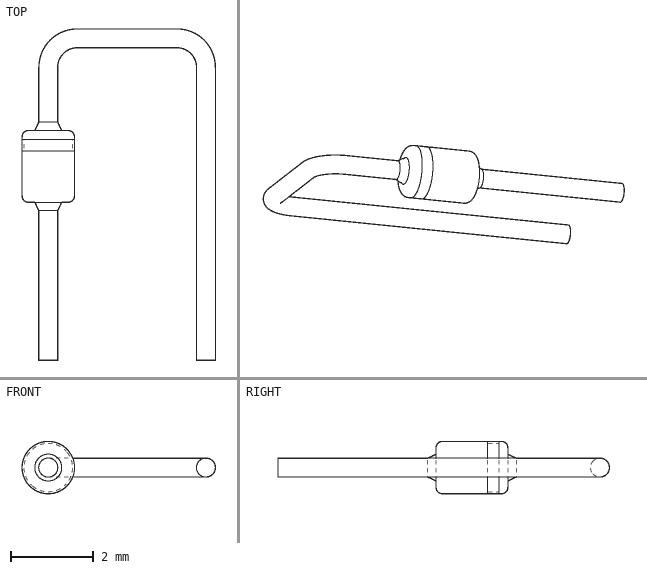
import cadquery as cq
import math


overall_length = 8.0
lead_pitch = 3.805
lead_diameter = 0.46
bend_radius = 0.7

body_diameter = 1.27
body_length = 1.74
body_start = 3.81
edge_radius = 0.16

neck_length = 0.2
neck_base_radius = 0.325

band_width = 0.275
band_offset = 0.22
band_depth = 0.05

lead_radius = lead_diameter / 2
body_radius = body_diameter / 2
body_end = body_start + body_length
near_neck_tip = body_start - neck_length
far_neck_tip = body_end + neck_length
band_end = body_end - band_offset
fold_y = overall_length - lead_radius


def make_band():
    """Ring set into the body near its far end."""
    return (
        cq.Workplane("XZ", origin=(0, band_end, 0))
        .circle(body_radius)
        .circle(body_radius - band_depth)
        .extrude(band_width)
    )


def make_body(band):
    """Round-ended glass cylinder with a tapered neck at each end and a groove for the band."""
    arc_inset = edge_radius * (1 - math.sqrt(0.5))
    shoulder_radius = body_radius - edge_radius
    glass = (
        cq.Workplane("XY")
        .moveTo(0, near_neck_tip)
        .lineTo(lead_radius, near_neck_tip)
        .lineTo(neck_base_radius, body_start)
        .lineTo(shoulder_radius, body_start)
        .threePointArc(
            (body_radius - arc_inset, body_start + arc_inset),
            (body_radius, body_start + edge_radius),
        )
        .lineTo(body_radius, body_end - edge_radius)
        .threePointArc(
            (body_radius - arc_inset, body_end - arc_inset),
            (shoulder_radius, body_end),
        )
        .lineTo(neck_base_radius, body_end)
        .lineTo(lead_radius, far_neck_tip)
        .lineTo(0, far_neck_tip)
        .close()
        .revolve(360, (0, 0, 0), (0, 1, 0))
    )
    return glass.cut(band)


def make_straight_lead():
    """Lead from its tip to the near neck."""
    return cq.Workplane("XZ").circle(lead_radius).extrude(-near_neck_tip)


def make_folded_lead():
    """Lead that leaves the far neck, turns twice and runs back to the tip plane."""
    bend_start = fold_y - bend_radius
    arc_inset = bend_radius * (1 - math.sqrt(0.5))
    path = (
        cq.Workplane("XY")
        .moveTo(0, far_neck_tip)
        .lineTo(0, bend_start)
        .threePointArc((arc_inset, fold_y - arc_inset), (bend_radius, fold_y))
        .lineTo(lead_pitch - bend_radius, fold_y)
        .threePointArc((lead_pitch - arc_inset, fold_y - arc_inset), (lead_pitch, bend_start))
        .lineTo(lead_pitch, 0)
    )
    return cq.Workplane("XZ", origin=(0, far_neck_tip, 0)).circle(lead_radius).sweep(path)


band = make_band()
body = make_body(band)
straight_lead = make_straight_lead()
folded_lead = make_folded_lead()

result = cq.Compound.makeCompound([body.val(), band.val(), straight_lead.val(), folded_lead.val()])